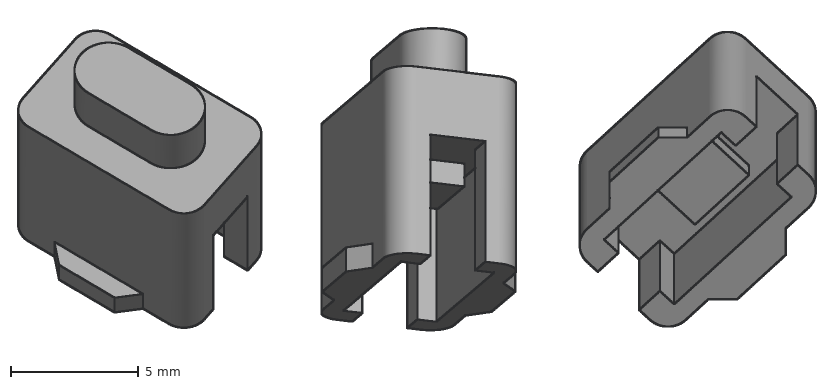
import cadquery as cq

body_length = 8.8
body_width = 5.5
body_height = 7.75
corner_radius = 1.0

total_height = 10.0
post_length = 5.7
post_width = 2.7

tab_reach = 0.8
tab_root_length = 4.3
tab_tip_length = tab_root_length - 2 * tab_reach
tab_height = 1.0

end_wall = 1.15
side_wall = 0.8
cavity_length = body_length - 2 * end_wall
cavity_width = body_width - 2 * side_wall
cavity_height = 5.0

notch_width = 2.3

pad_length = post_length - post_width
pad_width = post_width
pad_drop = 0.95


def make_body():
    block = cq.Workplane("XY").rect(body_length, body_width).extrude(body_height)
    return block.edges("|Z").fillet(corner_radius)


def make_post():
    top_face = cq.Workplane("XY").workplane(offset=body_height)
    return top_face.slot2D(post_length, post_width).extrude(total_height - body_height)


def make_tabs():
    """Trapezoidal tab on the +Y side and its mirror image on the -Y side."""
    root_y = body_width / 2
    tip_y = root_y + tab_reach
    tab = (
        cq.Workplane("XY")
        .moveTo(-tab_root_length / 2, root_y)
        .lineTo(-tab_tip_length / 2, tip_y)
        .lineTo(tab_tip_length / 2, tip_y)
        .lineTo(tab_root_length / 2, root_y)
        .close()
        .extrude(tab_height)
    )
    return tab.union(tab.mirror("XZ"))


def make_cavity():
    """Space inside the housing, opened at both ends by the notches."""
    chamber = cq.Workplane("XY").rect(cavity_length, cavity_width).extrude(cavity_height)
    notches = cq.Workplane("XY").rect(body_length, notch_width).extrude(cavity_height)
    return chamber.union(notches)


def make_pad():
    roof = cq.Workplane("XY").workplane(offset=cavity_height)
    return roof.rect(pad_length, pad_width).extrude(-pad_drop)


shell = make_body().cut(make_cavity())
result = shell.union(make_post()).union(make_tabs()).union(make_pad())